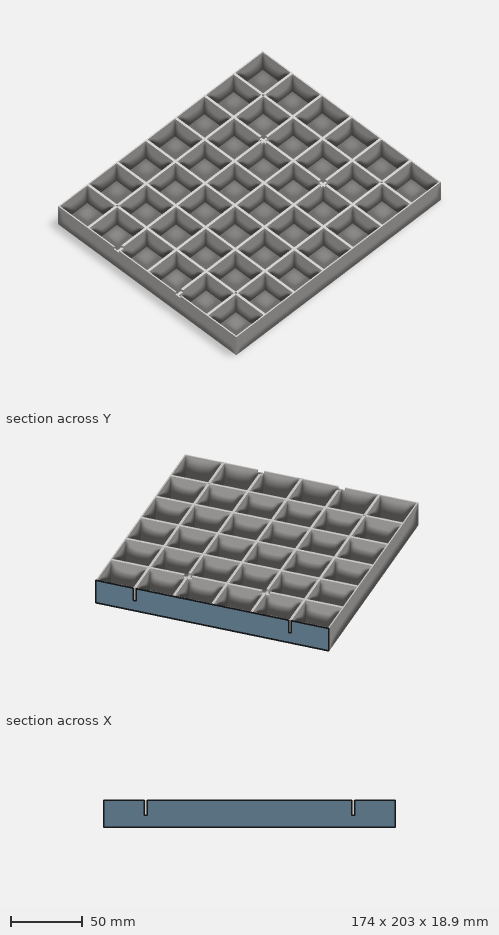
import cadquery as cq

length_x = 174.0
length_y = 203.0
height = 18.9
columns = 6
rows = 7
floor_thickness = 0.6
divider = 1.99
pitch_x = length_x / columns
pitch_y = length_y / rows

notch_depth = 2.0
crossing_notch_size = 6.0
rim_notch_size = 5.0
rim_notch_x = 30.0

pin_hole_diameter = 1.8
pin_hole_x = 57.9
pin_hole_y = 72.3
pin_hole_depth = 10.2


def top_plane():
    return cq.Workplane("XY", origin=(0, 0, height))


def compartments():
    """Grid of square pockets open at the top."""
    return (
        cq.Workplane("XY", origin=(0, 0, floor_thickness))
        .rarray(pitch_x, pitch_y, columns, rows)
        .rect(pitch_x - divider, pitch_y - divider)
        .extrude(height - floor_thickness)
    )


def crossing_notches():
    """Square notches that lower two of the divider crossings."""
    center_y = 1.5 * pitch_y
    centers = [(side * pitch_x, center_y) for side in (-1, 1)]
    return (
        top_plane()
        .pushPoints(centers)
        .rect(crossing_notch_size, crossing_notch_size)
        .extrude(-notch_depth)
    )


def rim_notches():
    """Notches through the -Y rim, running into the dividers behind it."""
    center_y = -length_y / 2 + rim_notch_size / 2
    centers = [(side * rim_notch_x, center_y) for side in (-1, 1)]
    return (
        top_plane()
        .pushPoints(centers)
        .rect(rim_notch_size, rim_notch_size)
        .extrude(-notch_depth)
    )


def pin_holes():
    """Blind holes in the four divider crossings nearest the corners."""
    return (
        top_plane()
        .rarray(2 * pin_hole_x, 2 * pin_hole_y, 2, 2)
        .circle(pin_hole_diameter / 2)
        .extrude(-pin_hole_depth)
    )


tray = cq.Workplane("XY").box(length_x, length_y, height, centered=(True, True, False))
result = tray.cut(compartments()).cut(crossing_notches()).cut(rim_notches()).cut(pin_holes())